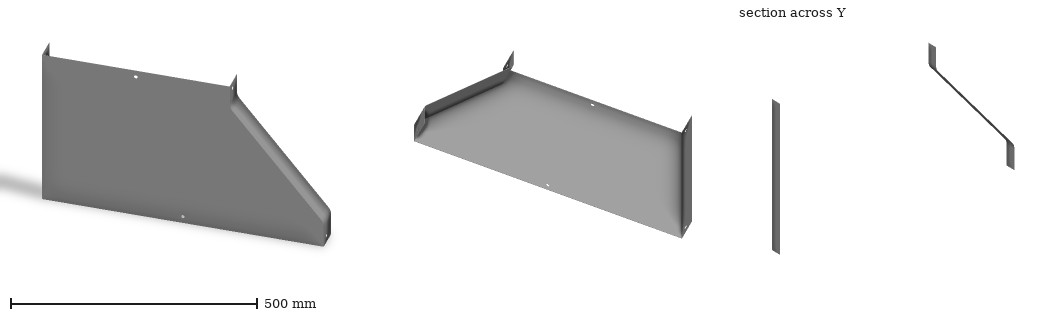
import cadquery as cq

length = 600.0
depth = 50.0
height = 348.0
sheet = 0.8

top_length = 400.0
upper_bend_z = 297.0
lower_bend_z = 57.5
upper_bend_radius = 20.0
lower_bend_radius = 24.0

hole_diameter = 7.0
flange_slot_length = 10.0
panel_slot_length = 8.0
hole_edge_offset = 15.0
flange_slot_y = 19.5
panel_slot_x = length / 3
panel_hole_x = length / 2
upper_hole_z = height - hole_edge_offset
lower_hole_z = hole_edge_offset


def bend(body, x, z, radius):
    """Round the body's Y-direction edge that passes through (x, z)."""
    corner = cq.selectors.NearestToPointSelector((x, depth / 2, z))
    return body.edges("|Y").edges(corner).fillet(radius)


def panel_block():
    """Solid block with the panel outline and both bends of the sloping end rounded."""
    outline = [
        (0, 0),
        (length, 0),
        (length, lower_bend_z),
        (top_length, upper_bend_z),
        (top_length, height),
        (0, height),
    ]
    block = cq.Workplane("XZ").polyline(outline).close().extrude(-depth)
    block = bend(block, length, lower_bend_z, lower_bend_radius)
    return bend(block, top_length, upper_bend_z, upper_bend_radius)


def flanged_panel():
    """Sheet panel flanged on the left and along the sloping end, open at the back, top and bottom."""
    return panel_block().faces(">Y or >Z or <Z").shell(-sheet)


def flange_slots():
    """Cutters for the slots, elongated in Y, that pass through the left and right flanges."""
    return (
        cq.Workplane("YZ", origin=(-sheet, 0, 0))
        .pushPoints([(flange_slot_y, lower_hole_z), (flange_slot_y, upper_hole_z)])
        .slot2D(flange_slot_length, hole_diameter)
        .extrude(length + 2 * sheet)
    )


def panel_slot():
    """Cutter for the upper panel slot, elongated in X."""
    centre = cq.Workplane("XZ", origin=(panel_slot_x, 0, upper_hole_z))
    return centre.slot2D(panel_slot_length, hole_diameter).extrude(2 * sheet, both=True)


def panel_hole():
    """Cutter for the lower round hole in the panel."""
    centre = cq.Workplane("XZ", origin=(panel_hole_x, 0, lower_hole_z))
    return centre.circle(hole_diameter / 2).extrude(2 * sheet, both=True)


result = flanged_panel().cut(flange_slots()).cut(panel_slot()).cut(panel_hole())